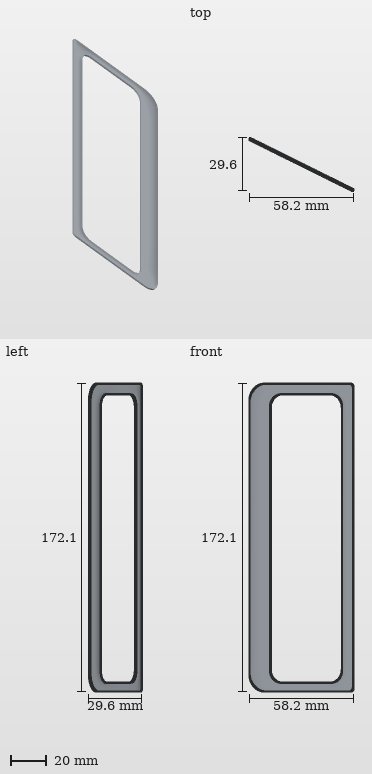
import cadquery as cq

height = 172.1
width = 64.5
thickness = 1.0
turn_angle = -26.4

left_corner_radius = 10.0
right_corner_radius = 2.0

left_border = 12.9
right_border = 6.9
top_border = 6.0
bottom_border = 5.0
window_radius = 7.0
window_width = width - left_border - right_border
window_height = height - top_border - bottom_border
window_x = (left_border - right_border) / 2
window_z = (bottom_border - top_border) / 2


def make_plate():
    """Upright plate with large left corners and small right corners."""
    plate = cq.Workplane("XY").box(width, thickness, height)
    plate = plate.edges("|Y and <X").fillet(left_corner_radius)
    return plate.edges("|Y and >X").fillet(right_corner_radius)


def make_window():
    """Rounded block that cuts the opening right through the plate."""
    window = cq.Workplane("XY").box(window_width, 2 * thickness, window_height)
    window = window.edges("|Y").fillet(window_radius)
    return window.translate((window_x, 0, window_z))


frame = make_plate().cut(make_window())
result = frame.rotate((0, 0, 0), (0, 0, 1), turn_angle)